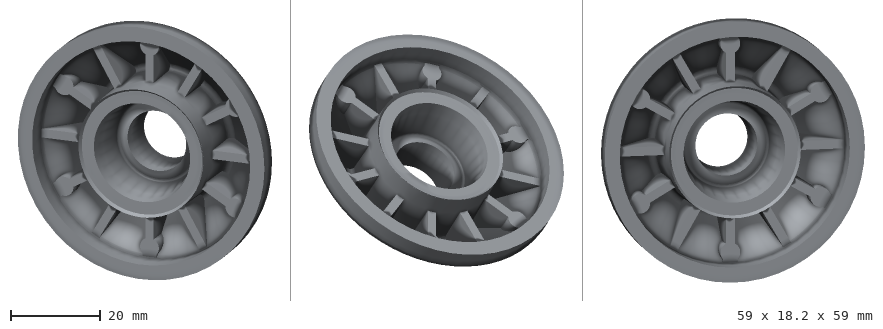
import cadquery as cq
import math


rim_radius = 29.5
rim_depth = 4.15
back_height = 18.0
shell_round = 2.0
shell_wall = 2.5

hub_lip = 0.2
hub_radius = 14.9
hub_draft = 2.0
recess_radius = 14.4
recess_depth = 0.7
bore_mouth_radius = 11.5
bore_draft = 10.0
bore_bottom = 10.55
bore_round = 0.5
floor_slope = 22.0
hole_radius = 7.0
hole_back_radius = 6.5

mouth_radius = 26.1
mouth_draft = 2.0
pocket_outer_round = 1.5
pocket_inner_round = 1.0

rib_count = 12
rib_top = 5.0
rib_width = 2.0
rib_draft = 1.5
post_radius = 2.25
post_center = 23.6
post_foot_width = 3.4


def slope(angle):
    return math.tan(math.radians(angle))


def turned(points):
    """Solid turned about Y from an outline of (radius, height) points."""
    return cq.Workplane("XY").polyline(points).close().revolve(360, (0, 0, 0), (0, 1, 0))


def ring_edges(solid, radius, height):
    """The circular edges of a turned solid that pass through one outline point."""
    def on_ring(edge):
        point = edge.startPoint()
        reach = math.hypot(point.x, point.z)
        return math.hypot(reach - radius, point.y - height) < 0.005

    return solid.newObject([edge for edge in solid.edges("%CIRCLE").vals() if on_ring(edge)])


shoulder = rim_depth + shell_round * slope(22.5)
back_radius = rim_radius - (back_height - shoulder)
blank = turned([
    (0, -hub_lip),
    (hub_radius, -hub_lip),
    (hub_radius, 0),
    (rim_radius, 0),
    (rim_radius, shoulder),
    (back_radius, back_height),
    (0, back_height),
])
blank = ring_edges(blank, rim_radius, shoulder).fillet(shell_round)
blank = ring_edges(blank, back_radius, back_height).fillet(shell_round)

hub_face = recess_depth - hub_lip
bore_bottom_radius = bore_mouth_radius - (bore_bottom - hub_face) * slope(bore_draft)
hole_start = bore_bottom - (bore_bottom_radius - hole_radius) * slope(floor_slope)
bore = turned([
    (0, -hub_lip),
    (hub_radius, -hub_lip),
    (recess_radius, hub_face),
    (bore_mouth_radius, hub_face),
    (bore_bottom_radius, bore_bottom),
    (hole_radius, hole_start),
    (hole_back_radius, back_height),
    (0, back_height),
])
bore = ring_edges(bore, bore_bottom_radius, bore_bottom).fillet(bore_round)

roof_offset = rim_radius + shoulder - shell_wall * math.sqrt(2)
corner_height = (roof_offset - mouth_radius) / (1 - slope(mouth_draft))
corner_radius = roof_offset - corner_height
valley_height = (roof_offset - hub_radius - hub_lip * slope(hub_draft)) / (1 + slope(hub_draft))
valley_radius = roof_offset - valley_height
pocket = turned([
    (hub_radius, -hub_lip),
    (mouth_radius, -hub_lip),
    (mouth_radius, 0),
    (corner_radius, corner_height),
    (valley_radius, valley_height),
])
pocket = ring_edges(pocket, corner_radius, corner_height).fillet(pocket_outer_round)
pocket = ring_edges(pocket, valley_radius, valley_height).fillet(pocket_inner_round)


def rib(index):
    """Drafted radial rib; every second one carries a round post at the rim."""
    plane = cq.Workplane("XZ", origin=(0, rib_top, 0))
    depth = back_height - rib_top
    span = rim_radius - bore_mouth_radius
    middle = (rim_radius + bore_mouth_radius) / 2
    body = plane.center(middle, 0).rect(span, rib_width).extrude(-depth, taper=-rib_draft)
    if index % 2:
        post = plane.center(post_center, 0).circle(post_radius).extrude(-depth, taper=-rib_draft)
        foot_length = rim_radius - post_center
        foot = (
            plane.center(post_center + foot_length / 2, 0)
            .rect(foot_length, post_foot_width)
            .extrude(-depth, taper=-rib_draft)
        )
        body = body.union(post).union(foot)
    return body.rotate((0, 0, 0), (0, 1, 0), index * 360 / rib_count)


for index in range(rib_count):
    pocket = pocket.cut(rib(index))

result = blank.cut(bore).cut(pocket)